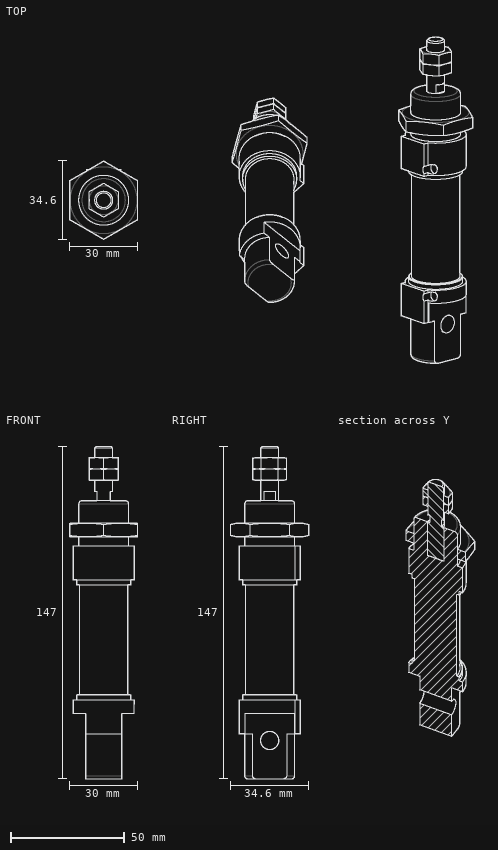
import cadquery as cq
import math

total_length = 147.0

rod_diameter = 8.0
rod_tip_chamfer = 0.7
rod_flat_width = 6.0
rod_flat_top_z = 127.0

rod_nut_width = 13.0
rod_nut_height = 5.0
rod_nut_top_z = 142.0
rod_nut_count = 2

mounting_nut_width = 30.0
mounting_nut_height = 6.0
mounting_nut_base_z = 107.0

nut_face_ratio = 0.985
nut_chamfer_angle = 13.0

neck_diameter = 22.0
tube_diameter = 21.5
ring_diameter = 24.0
collar_diameter = 27.0
neck_fillet = 1.5
lug_fillet = neck_fillet
ring_chamfer = 0.3

neck_top_z = 123.0
front_collar_top_z = 103.0
front_collar_base_z = 88.0
front_ring_base_z = 85.8
rear_ring_top_z = 37.3
rear_collar_top_z = 35.0
rear_collar_base_z = 20.0

lug_thickness = 16.0
lug_flat_top_z = 29.0
lug_hole_diameter = 8.0
lug_hole_z = 17.0

boss_width = 15.3
boss_face_y = collar_diameter / 2
port_diameter = 4.3
port_x = -9.0
port_floor_y = 8.8
port_tip_angle = 90.0
port_inset = 3.0


def cylinder(diameter, base_z, top_z):
    return cq.Workplane("XY").workplane(offset=base_z).circle(diameter / 2).extrude(top_z - base_z)


def chamfered_hex(width, base_z, height):
    """Hexagonal prism with corners on the Y axis, turned to a shallow cone at both ends."""
    corner_radius = width / math.sqrt(3)
    face_radius = nut_face_ratio * width / 2
    drop = (corner_radius - face_radius) * math.tan(math.radians(nut_chamfer_angle))
    prism = (
        cq.Workplane("XY")
        .workplane(offset=base_z)
        .transformed(rotate=(0, 0, 90))
        .polygon(6, 2 * corner_radius)
        .extrude(height)
    )
    turned_blank = (
        cq.Workplane("XZ")
        .moveTo(0, base_z)
        .lineTo(face_radius, base_z)
        .lineTo(corner_radius, base_z + drop)
        .lineTo(corner_radius, base_z + height - drop)
        .lineTo(face_radius, base_z + height)
        .lineTo(0, base_z + height)
        .close()
        .revolve(360, (0, 0, 0), (0, 1, 0))
    )
    return prism.intersect(turned_blank)


def make_nut(width, base_z, height, bore_diameter):
    bore = cylinder(bore_diameter, base_z, base_z + height)
    return chamfered_hex(width, base_z, height).cut(bore)


def make_rod():
    """Rod seated in the neck, with two wrench flats just above it."""
    rod = cylinder(rod_diameter, front_collar_top_z, total_length).faces(">Z").chamfer(rod_tip_chamfer)
    flat_height = rod_flat_top_z - neck_top_z
    for side in (-1, 1):
        relief = cq.Workplane("XY").box(rod_diameter, rod_diameter, flat_height).translate(
            (side * (rod_flat_width + rod_diameter) / 2, 0, neck_top_z + flat_height / 2)
        )
        rod = rod.cut(relief)
    return rod


def make_collar(base_z, top_z):
    """Round collar with a flat port boss on its +Y side."""
    boss = (
        cq.Workplane("XY")
        .workplane(offset=base_z)
        .center(0, boss_face_y / 2)
        .rect(boss_width, boss_face_y)
        .extrude(top_z - base_z)
    )
    return cylinder(collar_diameter, base_z, top_z).union(boss)


def make_port(port_z):
    """Drilled hole along Y with a conical end, breaking out of the -X side of the boss."""
    port_radius = port_diameter / 2
    tip_y = port_floor_y - port_radius / math.tan(math.radians(port_tip_angle / 2))
    return (
        cq.Workplane("XY")
        .workplane(offset=port_z)
        .moveTo(port_x, tip_y)
        .lineTo(port_x + port_radius, port_floor_y)
        .lineTo(port_x + port_radius, boss_face_y)
        .lineTo(port_x, boss_face_y)
        .close()
        .revolve(360, (port_x, tip_y, 0), (port_x, boss_face_y, 0))
    )


def make_lug_flats():
    """Two blocks that cut the rear end down to the lug thickness."""
    size = collar_diameter
    blocks = cq.Workplane("XY")
    for side in (-1, 1):
        blocks = blocks.union(
            cq.Workplane("XY").box(size, 2 * size, lug_flat_top_z).translate(
                (side * (lug_thickness + size) / 2, 0, lug_flat_top_z / 2)
            )
        )
    return blocks


def make_housing():
    neck = cylinder(neck_diameter, front_collar_base_z, neck_top_z).faces(">Z").edges().fillet(neck_fillet)
    front_ring = cylinder(ring_diameter, front_ring_base_z, front_collar_base_z)
    tube = cylinder(tube_diameter, rear_collar_top_z, front_collar_base_z)
    rear_ring = cylinder(ring_diameter, rear_collar_top_z, rear_ring_top_z)
    rear_ring = rear_ring.faces(">Z").chamfer(ring_chamfer)
    lug = cylinder(neck_diameter, 0, rear_collar_top_z).faces("<Z").edges().fillet(lug_fillet)

    housing = make_collar(front_collar_base_z, front_collar_top_z)
    housing = housing.union(make_collar(rear_collar_base_z, rear_collar_top_z))
    for section in (neck, front_ring, tube, rear_ring, lug):
        housing = housing.union(section)

    housing = housing.cut(make_lug_flats())
    lug_hole = (
        cq.Workplane("YZ").center(0, lug_hole_z).circle(lug_hole_diameter / 2).extrude(lug_thickness, both=True)
    )
    housing = housing.cut(lug_hole)
    for port_z in (front_collar_base_z + port_inset, rear_collar_top_z - port_inset):
        housing = housing.cut(make_port(port_z))

    rod_bore = cylinder(rod_diameter, front_collar_top_z, neck_top_z)
    return housing.cut(rod_bore)


housing = make_housing()
rod = make_rod()
mounting_nut = make_nut(mounting_nut_width, mounting_nut_base_z, mounting_nut_height, neck_diameter)
rod_nuts = [
    make_nut(rod_nut_width, rod_nut_top_z - (i + 1) * rod_nut_height, rod_nut_height, rod_diameter)
    for i in range(rod_nut_count)
]

result = cq.Compound.makeCompound(
    [housing.val(), rod.val(), mounting_nut.val(), *[nut.val() for nut in rod_nuts]]
)